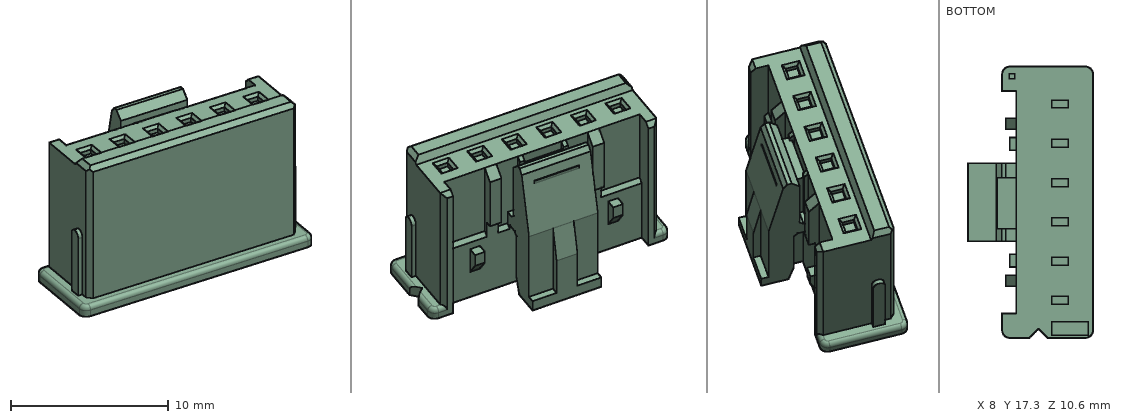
import cadquery as cq


body_front = 2.18
body_back = 7.32
body_half_width = 7.84
body_top = 10.02
edge_chamfer = 0.33
post_inner_y = 7.08
lower_wall_x = 3.08
upper_wall_x = 3.35
wall_step_top = 4.8
wall_step_bottom = wall_step_top - (upper_wall_x - lower_wall_x)

rim_top = 10.5
rim_front_foot = 5.7
rim_front_crest = 6.0

flange_back = 8.0
flange_half_width = 8.65
flange_height = 0.8
flange_corner = 0.52
flange_edge_round = 0.31
notch_x = 4.5
notch_depth = 0.59

contact_count = 6
contact_row_span = 12.5
contact_pitch = contact_row_span / (contact_count - 1)
contact_x = 4.75
cavity_mouth = 1.18
cavity_size = 0.78
lead_in_depth = (cavity_mouth - cavity_size) / 2
cavity_depth = 0.5

latch_width = 4.98
latch_height = rim_top
latch_spine_knee = 3.46
latch_slope_knee = 5.8
latch_slope_end = (1.45, 10.15)
latch_crest_front = 1.73
latch_crest_back = 2.02
latch_crest_drop = 0.54
latch_inner_x = 2.56
latch_lower_inner_x = 2.16
latch_spine_width = 1.5
latch_recess_depth = 0.48
latch_foot_height = 0.78
latch_toe_x = 1.82
latch_toe_height = 1.12
bridge_top = 5.71
bridge_bottom = 4.83
bridge_chamfer = 0.26

core_width = 3.25
core_y = 0.05
core_front = 1.26
core_back = 3.24
core_bottom = 0.22
core_top = 9.48

guide_rib_y = 3.72
guide_rib_width = 0.83
guide_rib_front = 2.66
guide_rib_bottom = 5.67
small_rib_y = 1.57
small_rib_width = 0.33

bump_y = 5.0
bump_width = 0.71
bump_front = 2.4
bump_top = 3.96
bump_slope_top = 3.08
bump_bottom = 2.08

end_rib_x = 6.15
end_rib_width = 0.8
end_rib_height = 5.45
end_rib_reach = 0.31

pad_height = 0.1
pad_width = 0.5
pad_length = 1.04
pad_x = 5.88
corner_pad_width = 0.85
corner_pad_length = 2.32
corner_pad_x = 6.52
corner_pad_y = 8.05
dot_size = 0.33
dot_x = 2.82
dot_y = -8.03


def block(x_min, x_max, y_min, y_max, z_min, z_max):
    """Axis-aligned box between the given limits."""
    size = (x_max - x_min, y_max - y_min, z_max - z_min)
    return cq.Workplane("XY").box(*size, centered=False).translate((x_min, y_min, z_min))


def slab(profile, width, y_center=0):
    """XZ profile extruded symmetrically about y_center."""
    return cq.Workplane("XZ", origin=(0, y_center, 0)).polyline(profile).close().extrude(width / 2, both=True)


def make_housing():
    """Chamfered body with its rim: the common volume of a side, an end and a plan outline."""
    side = slab(
        [
            (body_front, 0),
            (body_front, body_top - edge_chamfer),
            (body_front + edge_chamfer, body_top),
            (rim_front_foot, body_top),
            (rim_front_crest, rim_top),
            (body_back - edge_chamfer, rim_top),
            (body_back, rim_top - edge_chamfer),
            (body_back, 0),
        ],
        2 * body_half_width,
    )
    envelope = block(body_front, body_back, -body_half_width, body_half_width, 0, rim_top)
    plan = envelope.edges("|Z").chamfer(edge_chamfer)
    end = envelope.faces(">Z").edges("|X").chamfer(edge_chamfer)
    return side.intersect(plan).intersect(end)


def make_flange():
    """Rounded base plate with a V notch in its +Y end."""
    flange = block(body_front, flange_back, -flange_half_width, flange_half_width, 0, flange_height)
    flange = flange.edges("|Z").fillet(flange_corner)
    flange = flange.faces(">Z").edges().fillet(flange_edge_round)
    notch = (
        cq.Workplane("XY")
        .moveTo(notch_x - notch_depth, flange_half_width)
        .lineTo(notch_x, flange_half_width - notch_depth)
        .lineTo(notch_x + notch_depth, flange_half_width)
        .close()
        .extrude(flange_height)
    )
    return flange.cut(notch)


def make_front_recess():
    """Space between the end posts, with the 45-degree step in the wall behind it."""
    profile = [
        (0, 0),
        (lower_wall_x, 0),
        (lower_wall_x, wall_step_bottom),
        (upper_wall_x, wall_step_top),
        (upper_wall_x, rim_top),
        (0, rim_top),
    ]
    return slab(profile, 2 * post_inner_y)


def make_cavity(y):
    """Square contact hole with a tapered lead-in at its mouth."""
    mouth = cq.Workplane("XY", origin=(contact_x, y, body_top)).rect(cavity_mouth, cavity_mouth)
    lead_in = mouth.workplane(offset=-lead_in_depth).rect(cavity_size, cavity_size).loft()
    bore = cq.Workplane("XY", origin=(contact_x, y, body_top)).rect(cavity_size, cavity_size)
    return lead_in.union(bore.extrude(-cavity_depth))


def make_latch():
    """Sloped latch arm with a central spine, joined to the front wall by a bridge."""
    arm = slab(
        [
            (0, 0),
            (0, latch_spine_knee),
            (latch_recess_depth, latch_slope_knee),
            latch_slope_end,
            (latch_crest_front, latch_height),
            (latch_crest_back, latch_height),
            (latch_inner_x, latch_height - latch_crest_drop),
            (latch_inner_x, bridge_top + bridge_chamfer),
            (latch_inner_x + bridge_chamfer, bridge_top),
            (upper_wall_x, bridge_top),
            (upper_wall_x, bridge_bottom),
            (latch_lower_inner_x + bridge_chamfer, bridge_bottom),
            (latch_lower_inner_x, bridge_bottom - bridge_chamfer),
            (latch_lower_inner_x, latch_toe_height),
            (latch_toe_x, 0),
        ],
        latch_width,
    )
    spine_half = latch_spine_width / 2
    latch_half = latch_width / 2
    for y_min, y_max in ((-latch_half, -spine_half), (spine_half, latch_half)):
        arm = arm.cut(block(0, latch_recess_depth, y_min, y_max, latch_foot_height, latch_height))
    y_min = core_y - core_width / 2
    y_max = core_y + core_width / 2
    core = block(core_front, core_back, y_min, y_max, core_bottom, core_top)
    gap = block(core_back, upper_wall_x, y_min, y_max, bridge_bottom, bridge_top)
    return arm.cut(gap).union(core)


def make_rib(y, width, front, bottom):
    """Vertical rib on the upper wall with a 45-degree bevel at its top."""
    reach = upper_wall_x - front
    profile = [
        (upper_wall_x, body_top),
        (front, body_top - reach),
        (front, bottom),
        (upper_wall_x, bottom),
    ]
    return slab(profile, width, y)


def make_wall_pad(y, width, top):
    """Pad that carries the lower wall face up past the step in the wall."""
    return block(lower_wall_x, upper_wall_x, y - width / 2, y + width / 2, 0, top)


def make_bump(y):
    """Lock bump with a flat top and a sloped underside."""
    profile = [
        (lower_wall_x, bump_top),
        (bump_front, bump_top),
        (bump_front, bump_slope_top),
        (lower_wall_x, bump_bottom),
    ]
    return slab(profile, bump_width, y)


def make_end_ribs():
    """One bar through the body whose two ends stand out as round-topped ribs."""
    radius = end_rib_width / 2
    shoulder = end_rib_height - radius
    return (
        cq.Workplane("XZ")
        .moveTo(end_rib_x - radius, 0)
        .lineTo(end_rib_x - radius, shoulder)
        .threePointArc((end_rib_x, end_rib_height), (end_rib_x + radius, shoulder))
        .lineTo(end_rib_x + radius, 0)
        .close()
        .extrude(body_half_width + end_rib_reach, both=True)
    )


def make_foot_pad(x, y, length, width):
    """Thin pad under the housing, sunk into it by its own height."""
    return cq.Workplane("XY", origin=(x, y, -pad_height)).rect(length, width).extrude(2 * pad_height)


contact_ys = [i * contact_pitch - contact_row_span / 2 for i in range(contact_count)]

result = make_housing().union(make_flange()).union(make_end_ribs()).cut(make_front_recess())
result = result.union(make_wall_pad(0, latch_width, bridge_bottom)).union(make_latch())
for side in (-1, 1):
    rib_y = side * guide_rib_y
    result = result.union(make_rib(rib_y, guide_rib_width, guide_rib_front, guide_rib_bottom))
    result = result.union(make_wall_pad(rib_y, guide_rib_width, guide_rib_bottom))
    result = result.union(make_rib(side * small_rib_y, small_rib_width, lower_wall_x, wall_step_top))
    result = result.union(make_bump(side * bump_y))
for contact_y in contact_ys:
    result = result.cut(make_cavity(contact_y))
    result = result.union(make_foot_pad(pad_x, contact_y, pad_length, pad_width))
result = result.union(make_foot_pad(corner_pad_x, corner_pad_y, corner_pad_length, corner_pad_width))
result = result.union(make_foot_pad(dot_x, dot_y, dot_size, dot_size))